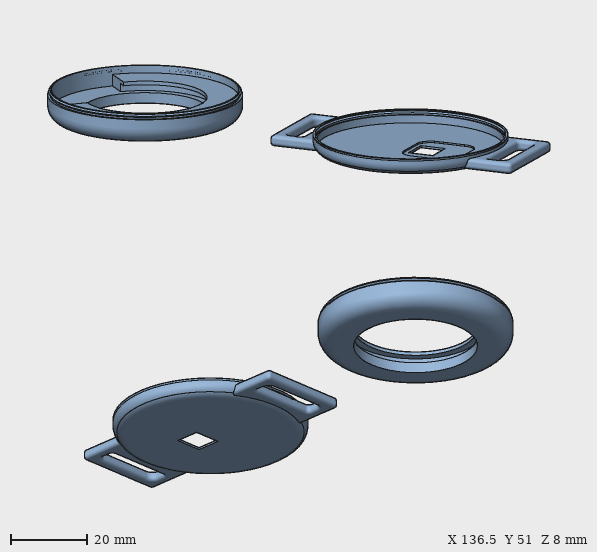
import cadquery as cq
TOTAL_LENGTH = 136.5
OUTER_R = 51.0 / 2
CUP_X = 76.3

RING_HEIGHT = 8.0
RING_EDGE_R = 4.0
BORE_R = 32.3 / 2
RIM_BASE_Z = 6.7
RIM_OUTER_R = 49.7 / 2
RIM_INNER_R = 49.0 / 2
BEAD_SIZE = 0.4
BEAD_DEPTH = 0.48
RING_FLOOR_Z = 2.9
LEDGE_TOP_Z = 6.0
LEDGE_LIP = 1.0
UNDERCUT_R = BORE_R + 2.2

CUP_HEIGHT = 4.5
CUP_EDGE_R = 3.0
CUP_FLOOR_Z = 1.0
CUP_INNER_R = RIM_INNER_R
MOUTH_R = 49.8 / 2
MOUTH_DEPTH = RING_HEIGHT - RIM_BASE_Z
MOUTH_GROOVE_SIZE = BEAD_SIZE
MOUTH_GROOVE_DEPTH = BEAD_DEPTH

RECESS_SIDE = 16.1
RECESS_CORNER_R = 4.0
RECESS_DEPTH = 0.4
WINDOW_START_X = 1.2
WINDOW_LENGTH = 7.0
WINDOW_WIDTH = 7.8

LUG_REACH = TOTAL_LENGTH - OUTER_R - CUP_X
LUG_WIDTH = 25.4
LUG_BASE_Z = 0.48
LUG_THICKNESS = 2.9
LUG_EDGE_R = 1.0
SLOT_X = 29.0
SLOT_LENGTH = 19.6
SLOT_WIDTH = 4.9
SLOT_OUTER_CORNER_R = 2.0
SLOT_INNER_CORNER_R = LUG_EDGE_R


def disc(radius, bottom, top):
    return cq.Workplane("XY").workplane(offset=bottom).circle(radius).extrude(top - bottom)


def rounded_disc(radius, height, edge_radius):
    """A disc standing on z = 0 with its bottom edge rounded."""
    return disc(radius, 0, height).faces("<Z").edges().fillet(edge_radius)


def ridged_disc(radius, bottom, top, ridge_size, ridge_z):
    """A disc with a pointed ridge running around its side at height ridge_z."""
    return (
        cq.Workplane("XZ")
        .moveTo(0, bottom)
        .lineTo(radius, bottom)
        .lineTo(radius, ridge_z - ridge_size)
        .lineTo(radius + ridge_size, ridge_z)
        .lineTo(radius, ridge_z + ridge_size)
        .lineTo(radius, top)
        .lineTo(0, top)
        .close()
        .revolve(360, (0, 0), (0, 1))
    )


def ledge_gap():
    """The quarter facing -X, down to the ring's floor, where the ledge is left out."""
    reach = 2 * OUTER_R
    quarter = (
        cq.Workplane("XY")
        .workplane(offset=RING_FLOOR_Z)
        .polyline([(0, 0), (-reach, reach), (-reach, -reach)])
        .close()
        .extrude(RING_HEIGHT)
    )
    return quarter.intersect(disc(RIM_INNER_R, 0, RING_HEIGHT))


def make_ring():
    body = rounded_disc(OUTER_R, RIM_BASE_Z, RING_EDGE_R)
    rim = ridged_disc(RIM_OUTER_R, RIM_BASE_Z, RING_HEIGHT, BEAD_SIZE, RING_HEIGHT - BEAD_DEPTH)
    inside = disc(RIM_INNER_R, LEDGE_TOP_Z, RING_HEIGHT)
    bore = disc(BORE_R, 0, RING_HEIGHT)
    undercut = disc(UNDERCUT_R, RING_FLOOR_Z, LEDGE_TOP_Z - LEDGE_LIP)
    return body.union(rim).cut(inside).cut(bore).cut(undercut).cut(ledge_gap())


def cup_blank():
    return rounded_disc(OUTER_R, CUP_HEIGHT, CUP_EDGE_R)


def floor_recess():
    return (
        cq.Workplane("XY")
        .workplane(offset=CUP_FLOOR_Z - RECESS_DEPTH)
        .center(RECESS_SIDE / 2, 0)
        .rect(RECESS_SIDE, RECESS_SIDE)
        .extrude(CUP_HEIGHT)
        .edges("|Z")
        .fillet(RECESS_CORNER_R)
    )


def floor_window():
    return (
        cq.Workplane("XY")
        .center(WINDOW_START_X + WINDOW_LENGTH / 2, 0)
        .rect(WINDOW_LENGTH, WINDOW_WIDTH)
        .extrude(CUP_HEIGHT)
    )


def make_cup():
    inside = disc(CUP_INNER_R, CUP_FLOOR_Z, CUP_HEIGHT)
    mouth = ridged_disc(
        MOUTH_R, CUP_HEIGHT - MOUTH_DEPTH, CUP_HEIGHT, MOUTH_GROOVE_SIZE, CUP_HEIGHT - MOUTH_GROOVE_DEPTH
    )
    body = cup_blank().cut(inside).cut(mouth).cut(floor_recess()).cut(floor_window())
    return body.translate((CUP_X, 0, 0))


def lug_plate():
    """A plate from the cup's axis out to the lug's end, rounded on its three free sides."""
    return (
        cq.Workplane("XY")
        .workplane(offset=LUG_BASE_Z)
        .center(LUG_REACH / 2, 0)
        .rect(LUG_REACH, LUG_WIDTH)
        .extrude(LUG_THICKNESS)
        .edges("|X or >X")
        .fillet(LUG_EDGE_R)
    )


def strap_slot():
    return (
        cq.Workplane("XY")
        .workplane(offset=LUG_BASE_Z)
        .center(SLOT_X, 0)
        .rect(SLOT_WIDTH, SLOT_LENGTH)
        .extrude(LUG_THICKNESS)
        .edges("|Z and >X")
        .fillet(SLOT_OUTER_CORNER_R)
        .edges("|Z and <X")
        .fillet(SLOT_INNER_CORNER_R)
    )


def make_lug(turn):
    """A slotted strap lug shaped to the cup's side, turned about the cup's axis by an angle in degrees."""
    slot_surroundings = cq.selectors.BoxSelector(
        (SLOT_X - SLOT_WIDTH, -SLOT_LENGTH / 2 - LUG_EDGE_R, 0),
        (SLOT_X + SLOT_WIDTH, SLOT_LENGTH / 2 + LUG_EDGE_R, CUP_HEIGHT),
    )
    lug = lug_plate().cut(strap_slot()).edges(slot_surroundings).fillet(LUG_EDGE_R)
    lug = lug.cut(cup_blank())
    return lug.rotate((0, 0, 0), (0, 0, 1), turn).translate((CUP_X, 0, 0))


ring = make_ring()
cup = make_cup()
lugs = [make_lug(turn) for turn in (0, 180)]

result = cq.Compound.makeCompound([ring.val(), cup.val(), *[lug.val() for lug in lugs]])